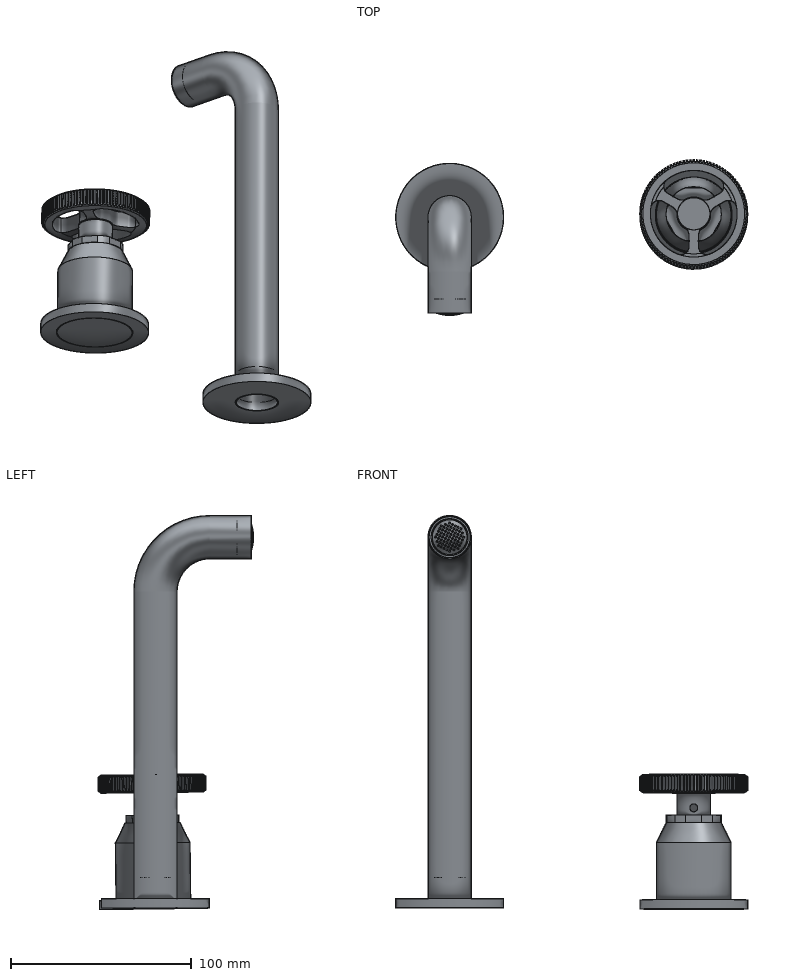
import cadquery as cq
import math

tube_radius = 12.0
tube_top = 217.0
bend_radius = 30.0
tip_length = 23.0
flange_radius = 29.9
flange_height = 5.0
foot_socket_top = 16.8
tube_wall = 0.7

mouth_depth = 7.9
face_ring_radius = 10.3
dome_radius = 9.5
dome_recess = 0.9
dome_height = 1.3
aerator_hole = 0.9
aerator_pitch = 1.7
aerator_hole_depth = 1.7
aerator_field_radius = 8.5
aerator_turn = 26.6

handle_x = 135.0
handle_y = 1.0
handle_z = -0.7
handle_lean = 0.7
sleeve_radius = 20.7
sleeve_clearance = 0.5
sleeve_straight_top = 36.7
sleeve_top = 47.8
sleeve_top_radius = 15.3
nut_across_flats = 29.2
nut_height = 4.1
neck_radius = 9.4
neck_wall = 0.33
neck_bore_drop = 0.5
screw_hole_radius = 2.2
screw_hole_rise = 4.0

rim_bottom = 64.4
rim_height = 10.0
rim_radius = 29.9
rim_inner_radius = 24.0
rim_face_radius = 28.1
rim_chamfer_height = 1.3
knurl_count = 100
knurl_depth = 1.0
knurl_tip_share = 0.5
hub_radius = 9.0
spoke_count = 3
first_spoke_angle = -90
spoke_width = 5.2
spoke_drop = 1.3
spoke_rim_fillet = 4.5
spoke_hub_fillet = 6.0
spoke_end_radius = 22.3

bend_z = tube_top - tube_radius
bend_start_z = bend_z - bend_radius
mouth_y = -(bend_radius + tip_length)
socket_radius = tube_radius - tube_wall
neck_bore_radius = neck_radius - neck_wall
nut_top = sleeve_top + nut_height
rim_top = rim_bottom + rim_height
spoke_spacing = 360 / spoke_count


def cylinder(radius, bottom, top):
    return cq.Workplane("XY").workplane(offset=bottom).circle(radius).extrude(top - bottom)


def polar(radius, angle):
    return radius * math.cos(angle), radius * math.sin(angle)


def make_spout():
    """Upright tube, bend and tip, with a blind socket in the foot and one in the mouth."""
    upright = cylinder(tube_radius, 0, bend_start_z)
    bend = (
        cq.Workplane("XY")
        .workplane(offset=bend_start_z)
        .circle(tube_radius)
        .revolve(90, (-2.2, -bend_radius, 0), (2.2, -bend_radius, 0))
    )
    tip = (
        cq.Workplane("XZ", origin=(0, -bend_radius, bend_z))
        .circle(tube_radius)
        .extrude(tip_length)
        .faces("<Y")
        .workplane()
        .hole(2 * socket_radius, mouth_depth)
    )
    return upright.union(bend).union(tip).cut(cylinder(socket_radius, 0, foot_socket_top))


def make_flange(hole_radius):
    return cylinder(flange_radius, 0, flange_height).cut(cylinder(hole_radius, 0, flange_height))


def make_aerator():
    """Plug with a domed face, revolved about the spout tip axis, and a grid of square holes in the dome."""
    back_y = mouth_y + mouth_depth
    recess_y = mouth_y + dome_recess
    dome_y = mouth_y - dome_height
    dome_rise = recess_y - dome_y
    sphere_radius = (dome_radius**2 + dome_rise**2) / (2 * dome_rise)
    mid_radius = dome_radius / 2
    mid_y = dome_y + sphere_radius - math.sqrt(sphere_radius**2 - mid_radius**2)
    plug = (
        cq.Workplane("XY")
        .moveTo(0, back_y)
        .lineTo(socket_radius, back_y)
        .lineTo(socket_radius, mouth_y)
        .lineTo(face_ring_radius, mouth_y)
        .lineTo(dome_radius, recess_y)
        .threePointArc((mid_radius, mid_y), (0, dome_y))
        .close()
        .revolve(360, (0, 0, 0), (0, 1, 0))
        .translate((0, 0, bend_z))
    )
    reach = math.ceil(aerator_field_radius / aerator_pitch)
    steps = range(-reach, reach + 1)
    grid = [(i * aerator_pitch, j * aerator_pitch) for i in steps for j in steps]
    spots = [spot for spot in grid if math.hypot(*spot) < aerator_field_radius]
    holes = (
        cq.Workplane("XZ", origin=(0, dome_y + aerator_hole_depth, bend_z))
        .pushPoints(spots)
        .rect(aerator_hole, aerator_hole)
        .extrude(aerator_hole_depth)
        .rotate((0, 0, bend_z), (0, 1, bend_z), aerator_turn)
    )
    return plug.cut(holes)


def make_sleeve():
    return (
        cq.Workplane("XZ")
        .polyline(
            [
                (0, 0),
                (sleeve_radius, 0),
                (sleeve_radius, sleeve_straight_top),
                (sleeve_top_radius, sleeve_top),
                (0, sleeve_top),
            ]
        )
        .close()
        .revolve(360, (0, 0, 0), (0, 1, 0))
    )


def make_nut():
    """Hexagon with flats facing front and back, and its corners turned down to the sleeve top."""
    corner_diameter = nut_across_flats / math.cos(math.pi / 6)
    hexagon = cq.Workplane("XY").workplane(offset=sleeve_top).polygon(6, corner_diameter).extrude(nut_height)
    return hexagon.intersect(cylinder(sleeve_top_radius, sleeve_top, nut_top))


def round_corners(gaps, at_hub, fillet_radius):
    """Fillet the upright edges of the gaps between spokes, either beside the hub or beside the rim."""
    halfway = (hub_radius + rim_inner_radius) / 2
    corners = []
    for edge in gaps.edges("|Z").vals():
        center = edge.Center()
        if (math.hypot(center.x, center.y) < halfway) == at_hub:
            corners.append(edge)
    return gaps.newObject(corners).fillet(fillet_radius)


def make_web():
    """Disc inside the rim, opened up between the spokes; the first spoke points toward -Y."""
    gaps = cylinder(rim_inner_radius, rim_bottom, rim_top).cut(cylinder(hub_radius, rim_bottom, rim_top))
    spoke = (
        cq.Workplane("XY")
        .workplane(offset=rim_bottom)
        .center(rim_radius / 2, 0)
        .rect(rim_radius, spoke_width)
        .extrude(rim_height)
    )
    for index in range(spoke_count):
        gaps = gaps.cut(spoke.rotate((0, 0, 0), (0, 0, 1), first_spoke_angle + index * spoke_spacing))
    gaps = round_corners(gaps, True, spoke_hub_fillet)
    gaps = round_corners(gaps, False, spoke_rim_fillet)
    return cylinder(rim_inner_radius, rim_bottom, rim_top - spoke_drop).cut(gaps)


def make_hub(web):
    """Spokes, boss and hollow neck, with a screw hole through the front of the neck."""
    spider = web.intersect(cylinder(spoke_end_radius, rim_bottom, rim_top))
    neck = cylinder(neck_radius, nut_top, rim_bottom)
    boss = cylinder(hub_radius, rim_bottom, rim_top)
    screw_hole = (
        cq.Workplane("XZ", origin=(0, 0, nut_top + screw_hole_rise))
        .circle(screw_hole_radius)
        .extrude(neck_radius)
    )
    bore = cylinder(neck_bore_radius, nut_top, rim_bottom - neck_bore_drop)
    return spider.union(neck).union(boss).cut(bore).cut(screw_hole)


def make_rim(web):
    """Chamfered ring with scalloped knurls, and inward lugs that meet the spoke ends."""
    pitch = 2 * math.pi / knurl_count
    half_tip = knurl_tip_share * pitch / 2
    valley_radius = rim_radius - knurl_depth
    outline = cq.Workplane("XY").workplane(offset=rim_bottom).moveTo(*polar(rim_radius, -half_tip))
    for index in range(knurl_count):
        angle = index * pitch
        outline = outline.lineTo(*polar(rim_radius, angle + half_tip)).threePointArc(
            polar(valley_radius, angle + pitch / 2), polar(rim_radius, angle + pitch - half_tip)
        )
    knurled = outline.close().extrude(rim_height)
    blank = (
        cq.Workplane("XZ")
        .polyline(
            [
                (rim_inner_radius, rim_bottom),
                (rim_face_radius, rim_bottom),
                (rim_radius, rim_bottom + rim_chamfer_height),
                (rim_radius, rim_top - rim_chamfer_height),
                (rim_face_radius, rim_top),
                (rim_inner_radius, rim_top),
            ]
        )
        .close()
        .revolve(360, (0, 0, 0), (0, 1, 0))
    )
    lugs = web.cut(cylinder(spoke_end_radius, rim_bottom, rim_top))
    return blank.intersect(knurled).union(lugs)


def place_on_handle(body):
    """Lean a body built on the Z axis toward +Y and move it to the handle position."""
    return body.rotate((0, 0, 0), (1, 0, 0), -handle_lean).translate((handle_x, handle_y, handle_z))


spout = make_spout()
spout_flange = make_flange(tube_radius)
aerator = make_aerator()
handle_flange = place_on_handle(make_flange(sleeve_radius + sleeve_clearance))
sleeve = place_on_handle(make_sleeve())
nut = place_on_handle(make_nut())
web = make_web()
hub = place_on_handle(make_hub(web))
rim = place_on_handle(make_rim(web))

result = cq.Compound.makeCompound(
    [
        spout.val(),
        spout_flange.val(),
        aerator.val(),
        handle_flange.val(),
        sleeve.val(),
        nut.val(),
        hub.val(),
        rim.val(),
    ]
)